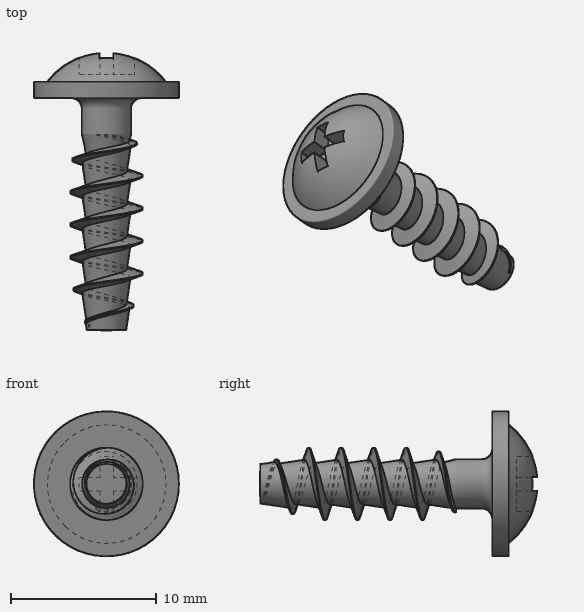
import cadquery as cq
import math


washer_diameter = 10.0
washer_thickness = 1.15
washer_edge_radius = 0.1
dome_base_radius = 4.08
dome_height = 2.0

recess_arm_width = 0.92
recess_span = 3.8
recess_depth = 1.5

shank_radius = 1.71
shank_length = 2.48
neck_fillet_radius = 0.7
run_in_slope = 0.25
total_length = 16.0
tip_point_height = 0.03
tip_radius = 1.37
tip_bevel_width = 0.09
tip_bevel_height = 0.02

pitch = 2.24
crest_radius = 2.5
crest_half_width = 0.04
head_flank_slope = 0.29
tip_flank_slope = 0.32
ridge_depth = 1.3
full_crest_start = -4.79
full_crest_end = -12.55
run_in_crest_slope = 0.236
run_out_crest_slope = 0.355
ridge_start = -1.9
ridge_end = -15.75

root_slope = 0.15
root_offset = 0.12
root_end_radius = 1.36
core_radius = 1.4
embed_radius = 1.1

pieces_per_turn = 2
steps_per_piece = 8

apex_y = washer_thickness + dome_height
tip_face_y = tip_point_height - total_length
tip_rim_y = tip_face_y + tip_bevel_height


def make_head():
    washer_radius = washer_diameter / 2
    washer = (
        cq.Workplane("XZ").circle(washer_radius).extrude(-washer_thickness)
        .edges().fillet(washer_edge_radius)
    )
    sphere_radius = (dome_base_radius**2 + dome_height**2) / (2 * dome_height)
    mid_radius = dome_base_radius / 2
    mid_y = apex_y - sphere_radius + math.sqrt(sphere_radius**2 - mid_radius**2)
    dome = (
        cq.Workplane("XY")
        .moveTo(0, washer_thickness / 2)
        .lineTo(dome_base_radius, washer_thickness / 2)
        .lineTo(dome_base_radius, washer_thickness)
        .threePointArc((mid_radius, mid_y), (0, apex_y))
        .close()
        .revolve(360, (0, 0, 0), (0, 1, 0))
    )
    return cut_cross_recess(washer.union(dome))


def cut_cross_recess(head):
    arm = cq.Workplane("XY").box(recess_span, recess_depth, recess_arm_width)
    arm = arm.translate((0, apex_y - recess_depth / 2, 0))
    for turn in (0, 90):
        head = head.cut(arm.rotate((0, 0, 0), (0, 1, 0), turn))
    return head


def make_shank():
    """Plain shank with a fillet under the head and a cone running into the thread."""
    fillet_mid = neck_fillet_radius * (1 - math.sqrt(0.5))
    run_in_length = (shank_radius - embed_radius) / run_in_slope
    return (
        cq.Workplane("XY")
        .moveTo(0, washer_thickness / 2)
        .lineTo(shank_radius + neck_fillet_radius, washer_thickness / 2)
        .lineTo(shank_radius + neck_fillet_radius, 0)
        .threePointArc((shank_radius + fillet_mid, -fillet_mid), (shank_radius, -neck_fillet_radius))
        .lineTo(shank_radius, -shank_length)
        .lineTo(embed_radius, -shank_length - run_in_length)
        .lineTo(0, -shank_length - run_in_length)
        .close()
        .revolve(360, (0, 0, 0), (0, 1, 0))
    )


def helix_point(radius, crest_y, offset_y):
    """Point on the right-hand helix whose crest is at crest_y, shifted along the axis."""
    angle = 2 * math.pi * (full_crest_start - crest_y) / pitch
    return cq.Vector(radius * math.sin(angle), crest_y + offset_y, -radius * math.cos(angle))


def helical_solid(profile_at, start_y, end_y):
    """Solid swept along the helix in short pieces; profile_at(y) lists its (radius, offset) corners."""
    pieces = math.ceil((start_y - end_y) / pitch * pieces_per_turn)
    steps = pieces * steps_per_piece
    stations = [start_y + (end_y - start_y) * i / steps for i in range(steps + 1)]
    sections = [[helix_point(r, y, d) for r, d in profile_at(y)] for y in stations]
    faces = []
    for first in range(0, steps, steps_per_piece):
        piece = sections[first : first + steps_per_piece + 1]
        rails = [cq.Edge.makeSpline(list(points)) for points in zip(*piece)]
        next_rails = rails[1:] + rails[:1]
        faces += [cq.Face.makeRuledSurface(a, b) for a, b in zip(rails, next_rails)]
    for section in (sections[0], sections[-1]):
        faces.append(cq.Face.makeFromWires(cq.Wire.makePolygon(section, close=True)))
    solid = cq.Solid.makeSolid(cq.Shell.makeShell(faces))
    return cq.Workplane(obj=solid.fix())


def crest_radius_at(y):
    run_in = max(0, y - full_crest_start) * run_in_crest_slope
    run_out = max(0, full_crest_end - y) * run_out_crest_slope
    return crest_radius - run_in - run_out


def ridge_profile(y):
    """Trapezoid that sinks into the core as the crest runs in and out."""
    crest = crest_radius_at(y)
    root = crest - ridge_depth
    return [
        (root, crest_half_width + head_flank_slope * ridge_depth),
        (crest, crest_half_width),
        (crest, -crest_half_width),
        (root, -crest_half_width - tip_flank_slope * ridge_depth),
    ]


def root_profile(_):
    """Constant wedge whose outer side tapers from the shank radius into the core."""
    root_start_radius = shank_radius - root_slope * root_offset
    root_end_offset = (shank_radius - root_end_radius) / root_slope
    return [
        (embed_radius, -root_offset),
        (root_start_radius, -root_offset),
        (root_end_radius, -root_end_offset),
        (embed_radius, -root_end_offset),
    ]


def make_core():
    """Core with the helically stepped root, trimmed to the tapered, slightly pointed tip."""
    core = cq.Workplane("XZ").circle(core_radius).extrude(total_length)
    root = helical_solid(root_profile, pitch / 2, -total_length - pitch / 2)
    taper_length = -shank_length - tip_rim_y
    taper = (
        cq.Workplane("XY")
        .moveTo(0, -shank_length)
        .lineTo(tip_radius + root_slope * taper_length, -shank_length)
        .lineTo(tip_radius, tip_rim_y)
        .lineTo(tip_radius - tip_bevel_width, tip_face_y)
        .lineTo(0, -total_length)
        .close()
        .revolve(360, (0, 0, 0), (0, 1, 0))
    )
    return core.union(root).intersect(taper)


def make_ridge():
    """Thread ridge, starting flush with the end of the plain shank."""
    ridge = helical_solid(ridge_profile, ridge_start, ridge_end)
    limit = (
        cq.Workplane("XZ", origin=(0, -shank_length, 0))
        .circle(washer_diameter / 2)
        .extrude(-tip_rim_y - shank_length)
    )
    return ridge.intersect(limit)


result = make_core().union(make_ridge()).union(make_shank()).union(make_head())